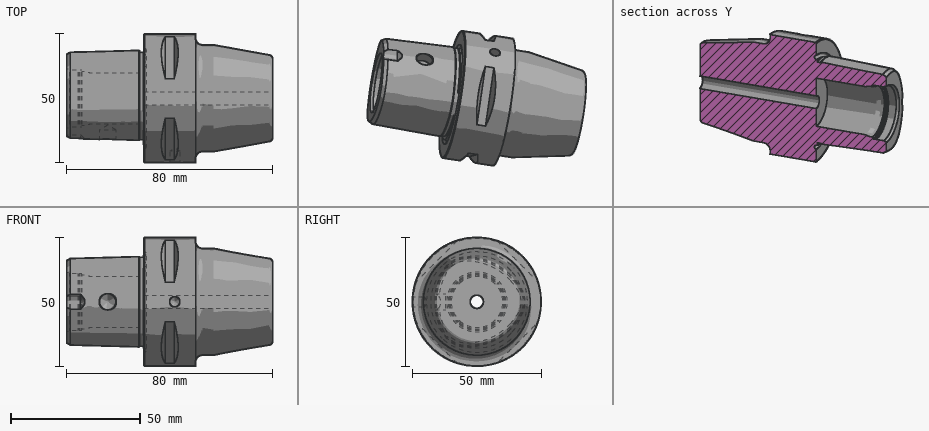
import cadquery as cq
import math

TOTAL_LENGTH = 80.0
TIP_CHAMFER_LENGTH = 1.5
SHANK_END = 28.0
UNDERCUT_START = 28.3
SEAT_START = 29.7
FLANGE_START = 30.0
FLANGE_END = 50.0
COLLAR_FILLET = 2.7
CONE_START = 57.0

LOBE_REACH = 18.6
FLAT_REACH = 16.4
LOBE_RADIUS = 10.4
TAPER_INSET = 0.7
TIP_CHAMFER_DEPTH = 0.9
UNDERCUT_INSET = 0.2
LOBE_ANGLES = (0.0, 120.0, 240.0)

FLANGE_DIAMETER = 50.0
FLANGE_RADIUS = FLANGE_DIAMETER / 2
FLANGE_CHAMFER = 0.3
SEAT_RADIUS = 17.9
FACE_GROOVE_WIDTH = 1.6
COLLAR_RADIUS = 20.7
NOSE_RADIUS = 16.9
NOSE_ROUND = 1.8

BORE_MOUTH_RADIUS = 11.7
BORE_ENTRY_RADIUS = 11.1
BORE_MOUTH_CHAMFER = 1.1
BORE_ENTRY_DEPTH = 4.4
BORE_LIP_RADIUS = 10.7
BORE_LIP_START = 4.8
BORE_GROOVE_START = 5.1
BORE_GROOVE_END = 5.6
BORE_STEP_RADIUS = 10.4
BORE_STEP_START = 5.9
BORE_STEP_END = 7.4
BORE_RADIUS = 9.9
BORE_RADIUS_START = 9.0
BORE_DEPTH = FLANGE_START
THROUGH_HOLE_DIAMETER = 5.0

SLOT_CENTER = (FLANGE_START + FLANGE_END) / 2
SLOT_FLOOR_RADIUS = 22.2
SLOT_FLOOR_WIDTH = 3.4
SLOT_WALL_ANGLE = 30.0
SLOT_ANGLES = (45.0, 135.0, 225.0, 315.0)

DRILL_TIP_ANGLE = 118.0
SHANK_HOLE_X = 15.9
SHANK_HOLE_DIAMETER = 6.3
COUNTERSINK_DIAMETER = 6.8
COUNTERSINK_ANGLE = 90.0
SHANK_HOLE_FLOOR = 12.2
FLANGE_HOLE_X = 41.9
FLANGE_HOLE_DIAMETER = 4.0
FLANGE_HOLE_FLOOR = 20.4
KEYWAY_DIAMETER = 7.2
KEYWAY_AXIS_RADIUS = 17.7
KEYWAY_TIP_ANGLE = 90.0
KEYWAY_LENGTH = 5.4


def polar(radius, degrees):
    """Point in the YZ plane, with the angle measured from +Y toward +Z."""
    angle = math.radians(degrees)
    return (radius * math.cos(angle), radius * math.sin(angle))


def polygon_section(x, inset):
    """Three-lobed outline at position x, moved inward by inset."""
    lobe_reach = LOBE_REACH - inset
    flat_reach = FLAT_REACH - inset
    lobe_radius = LOBE_RADIUS - inset
    lobe_center = lobe_reach - lobe_radius
    excess = LOBE_REACH - FLAT_REACH
    flat_center = excess * (2 * lobe_center - excess) / (lobe_center - 2 * excess)
    flat_radius = flat_center + flat_reach
    center_y, center_z = polar(flat_center, 240)
    reach = flat_radius / math.hypot(lobe_center - center_y, center_z)
    tangent_y = center_y + (lobe_center - center_y) * reach
    tangent_z = center_z - center_z * reach
    tangent_radius = math.hypot(tangent_y, tangent_z)
    tangent_angle = math.degrees(math.atan2(tangent_z, tangent_y))

    outline = cq.Workplane("YZ", origin=(x, 0, 0)).moveTo(*polar(tangent_radius, -tangent_angle))
    for angle in LOBE_ANGLES:
        outline = outline.threePointArc(
            polar(lobe_reach, angle), polar(tangent_radius, angle + tangent_angle)
        )
        outline = outline.threePointArc(
            polar(flat_reach, angle + 60), polar(tangent_radius, angle + 120 - tangent_angle)
        )
    return outline.close().val()


def loft_between(first, second):
    return cq.Workplane(cq.Solid.makeLoft([first, second], True))


def revolve_about_x(profile):
    return profile.close().revolve(360, (0, 0, 0), (1, 0, 0))


def make_shank():
    """Chamfered polygon taper with a short undercut running up to the flange."""
    tip = polygon_section(0, TAPER_INSET + TIP_CHAMFER_DEPTH)
    shoulder = polygon_section(TIP_CHAMFER_LENGTH, TAPER_INSET)
    root = polygon_section(SHANK_END, 0)
    undercut_start = polygon_section(UNDERCUT_START, UNDERCUT_INSET)
    undercut_end = polygon_section(FLANGE_START, UNDERCUT_INSET)
    shank = loft_between(tip, shoulder)
    shank = shank.union(loft_between(shoulder, root))
    shank = shank.union(loft_between(root, undercut_start))
    seat_cylinder = cq.Workplane("YZ").circle(SEAT_RADIUS).extrude(FLANGE_START)
    undercut = loft_between(undercut_start, undercut_end).intersect(seat_cylinder)
    return shank.union(undercut)


def make_body():
    """Seat, grooved flange, collar and tapered nose as one turned profile."""
    cone_angle = math.atan2(COLLAR_RADIUS - NOSE_RADIUS, TOTAL_LENGTH - NOSE_ROUND - CONE_START)
    round_x = TOTAL_LENGTH - NOSE_ROUND
    round_start_x = round_x + NOSE_ROUND * math.sin(cone_angle)
    round_start_r = COLLAR_RADIUS - (round_start_x - CONE_START) * math.tan(cone_angle)
    round_r = round_start_r - NOSE_ROUND * math.cos(cone_angle)
    middle = (math.pi / 2 - cone_angle) / 2
    round_middle = (round_x + NOSE_ROUND * math.cos(middle), round_r + NOSE_ROUND * math.sin(middle))
    bend = 1 - math.sqrt(0.5)
    groove_depth = FACE_GROOVE_WIDTH / 2
    profile = (
        cq.Workplane("XY")
        .moveTo(SEAT_START, 0)
        .lineTo(SEAT_START, SEAT_RADIUS)
        .lineTo(FLANGE_START, SEAT_RADIUS)
        .threePointArc(
            (FLANGE_START + groove_depth, SEAT_RADIUS + groove_depth),
            (FLANGE_START, SEAT_RADIUS + FACE_GROOVE_WIDTH),
        )
        .lineTo(FLANGE_START, FLANGE_RADIUS - FLANGE_CHAMFER)
        .lineTo(FLANGE_START + FLANGE_CHAMFER, FLANGE_RADIUS)
        .lineTo(FLANGE_END, FLANGE_RADIUS)
        .lineTo(FLANGE_END, COLLAR_RADIUS + COLLAR_FILLET)
        .threePointArc(
            (FLANGE_END + COLLAR_FILLET * bend, COLLAR_RADIUS + COLLAR_FILLET * bend),
            (FLANGE_END + COLLAR_FILLET, COLLAR_RADIUS),
        )
        .lineTo(CONE_START, COLLAR_RADIUS)
        .lineTo(round_start_x, round_start_r)
        .threePointArc(round_middle, (TOTAL_LENGTH, round_r))
        .lineTo(TOTAL_LENGTH, 0)
    )
    return revolve_about_x(profile)


def make_bore():
    """Stepped blind bore with a relief groove, and a smaller hole through to the nose."""
    profile = cq.Workplane("XY").polyline(
        [
            (0, 0),
            (0, BORE_MOUTH_RADIUS),
            (BORE_MOUTH_CHAMFER, BORE_ENTRY_RADIUS),
            (BORE_ENTRY_DEPTH, BORE_ENTRY_RADIUS),
            (BORE_LIP_START, BORE_LIP_RADIUS),
            (BORE_GROOVE_START, BORE_ENTRY_RADIUS),
            (BORE_GROOVE_END, BORE_ENTRY_RADIUS),
            (BORE_STEP_START, BORE_STEP_RADIUS),
            (BORE_STEP_END, BORE_STEP_RADIUS),
            (BORE_RADIUS_START, BORE_RADIUS),
            (BORE_DEPTH, BORE_RADIUS),
            (BORE_DEPTH, 0),
        ]
    )
    through_hole = cq.Workplane("YZ").circle(THROUGH_HOLE_DIAMETER / 2).extrude(TOTAL_LENGTH)
    return revolve_about_x(profile).union(through_hole)


def make_slot(angle):
    """Straight V-walled slot across the flange rim."""
    height = FLANGE_RADIUS - SLOT_FLOOR_RADIUS
    half_floor = SLOT_FLOOR_WIDTH / 2
    half_top = half_floor + height * math.tan(math.radians(SLOT_WALL_ANGLE))
    return (
        cq.Workplane("XY")
        .polyline(
            [
                (SLOT_CENTER - half_floor, SLOT_FLOOR_RADIUS),
                (SLOT_CENTER + half_floor, SLOT_FLOOR_RADIUS),
                (SLOT_CENTER + half_top, FLANGE_RADIUS),
                (SLOT_CENTER - half_top, FLANGE_RADIUS),
            ]
        )
        .close()
        .extrude(FLANGE_RADIUS, both=True)
        .rotate((0, 0, 0), (1, 0, 0), angle)
    )


def make_drill(start, direction, diameter, length, tip_angle):
    """Cylinder from start along direction, ending in a conical drill point."""
    radius = diameter / 2
    tip_length = radius / math.tan(math.radians(tip_angle / 2))
    start = cq.Vector(*start)
    direction = cq.Vector(*direction)
    barrel = cq.Solid.makeCylinder(radius, length, start, direction)
    tip = cq.Solid.makeCone(radius, 0, tip_length, start + direction * length, direction)
    return cq.Workplane(barrel).union(cq.Workplane(tip))


def make_side_drill(x, diameter, floor_radius, tip_angle=DRILL_TIP_ANGLE):
    """Radial drill from the -Y side, full width down to floor_radius."""
    length = FLANGE_RADIUS - floor_radius
    return make_drill((x, -FLANGE_RADIUS, 0), (0, 1, 0), diameter, length, tip_angle)


def make_countersink():
    """Conical mouth of the shank hole, measured where it meets the tapered flat."""
    taper = TAPER_INSET / (SHANK_END - TIP_CHAMFER_LENGTH)
    surface_radius = FLAT_REACH - taper * (SHANK_END - SHANK_HOLE_X)
    return make_side_drill(SHANK_HOLE_X, COUNTERSINK_DIAMETER, surface_radius, COUNTERSINK_ANGLE)


def make_keyway():
    """Round-bottomed groove along the shank flat, open at the tip."""
    start = (0, -KEYWAY_AXIS_RADIUS, 0)
    return make_drill(start, (1, 0, 0), KEYWAY_DIAMETER, KEYWAY_LENGTH, KEYWAY_TIP_ANGLE)


result = make_shank().union(make_body()).cut(make_bore())
for slot_angle in SLOT_ANGLES:
    result = result.cut(make_slot(slot_angle))
result = result.cut(make_side_drill(SHANK_HOLE_X, SHANK_HOLE_DIAMETER, SHANK_HOLE_FLOOR))
result = result.cut(make_countersink())
result = result.cut(make_side_drill(FLANGE_HOLE_X, FLANGE_HOLE_DIAMETER, FLANGE_HOLE_FLOOR))
result = result.cut(make_keyway())